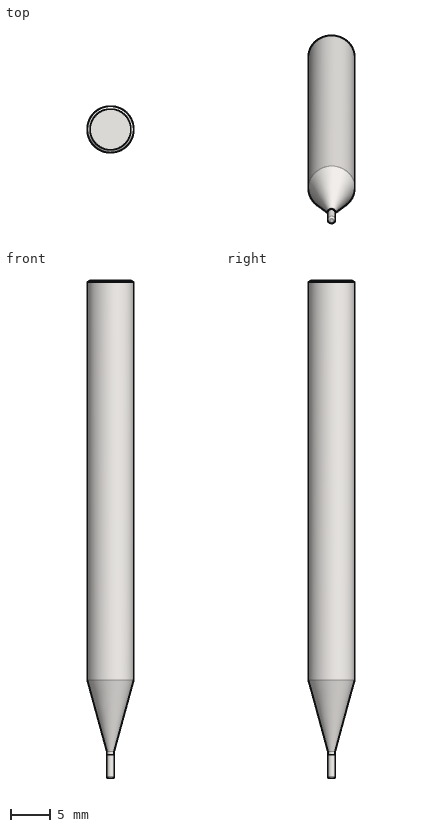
import cadquery as cq

total_length = 63.5
shank_diameter = 6.0
cutter_diameter = 1.0
neck_diameter = 0.95

cutter_length = 3.0
neck_length = 0.45
cone_top = 12.6

tip_corner_radius = 0.25
shank_chamfer_width = 0.4
shank_chamfer_height = 0.25

shank_radius = shank_diameter / 2
cutter_radius = cutter_diameter / 2
neck_radius = neck_diameter / 2
cone_bottom = cutter_length + neck_length


def make_cutter():
    """Round cutting tip with a rounded lower edge."""
    body = cq.Workplane("XY").circle(cutter_radius).extrude(cutter_length)
    return body.faces("<Z").edges().fillet(tip_corner_radius)


def make_shank():
    """Cylindrical shank with a cone down to a short straight neck, and a chamfered upper end."""
    profile = [
        (0, cutter_length),
        (neck_radius, cutter_length),
        (neck_radius, cone_bottom),
        (shank_radius, cone_top),
        (shank_radius, total_length - shank_chamfer_height),
        (shank_radius - shank_chamfer_width, total_length),
        (0, total_length),
    ]
    return cq.Workplane("XZ").polyline(profile).close().revolve(360, (0, 0), (0, 1))


cutter = make_cutter()
shank = make_shank()

result = cq.Compound.makeCompound([cutter.val(), shank.val()])